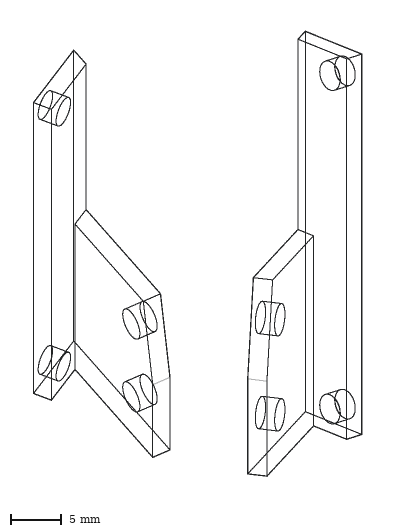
import cadquery as cq
import math

thickness = 2.0
height = 40.0
overall_width = 17.95
leaf_length = 8.35
leaf_lean = 30.0
leaf_hole_diameter = 3.0
leaf_hole_inset = 2.5

plate_height = height / 2
taper_start = plate_height / 2
taper_angle = 10.0
plate_hole_diameter = 3.2
plate_hole_edge_distance = 4.0
plate_hole_spacing = 10.0

lean = math.radians(leaf_lean)
along = (math.sin(lean), -math.cos(lean))
inward = (math.cos(lean), math.sin(lean))


def leaf_point(distance, depth):
    """Plan position at a distance along the outer face and a depth below it."""
    return (
        distance * along[0] + depth * inward[0],
        distance * along[1] + depth * inward[1],
    )


def make_leaf():
    """Tall slanted leaf, its rear edge cut flush with the plate's back face."""
    rear_width = thickness / math.cos(lean)
    outline = [
        (0, 0),
        leaf_point(leaf_length, 0),
        leaf_point(leaf_length, thickness),
        (rear_width, 0),
    ]
    leaf = cq.Workplane("XY").polyline(outline).close().extrude(height)

    hole_x, hole_y = leaf_point(leaf_length - leaf_hole_inset, -thickness)
    for hole_z in (leaf_hole_inset, height - leaf_hole_inset):
        hole = cq.Solid.makeCylinder(
            leaf_hole_diameter / 2,
            3 * thickness,
            cq.Vector(hole_x, hole_y, hole_z),
            cq.Vector(inward[0], inward[1], 0),
        )
        leaf = leaf.cut(cq.Workplane(obj=hole))
    return leaf


def make_plate():
    """Half-height plate with a tapered upper edge and two holes."""
    buried_edge = thickness * math.tan(lean)
    taper_width = (plate_height - taper_start) * math.tan(math.radians(taper_angle))
    outline = [
        (buried_edge, 0),
        (overall_width, 0),
        (overall_width, taper_start),
        (overall_width - taper_width, plate_height),
        (buried_edge, plate_height),
    ]
    plate = cq.Workplane("XZ").polyline(outline).close().extrude(thickness)

    hole_x = overall_width - plate_hole_edge_distance
    lower_z = (plate_height - plate_hole_spacing) / 2
    centers = [(hole_x, lower_z), (hole_x, lower_z + plate_hole_spacing)]
    holes = cq.Workplane("XZ").pushPoints(centers).circle(plate_hole_diameter / 2).extrude(thickness)
    return plate.cut(holes)


result = make_leaf().union(make_plate())